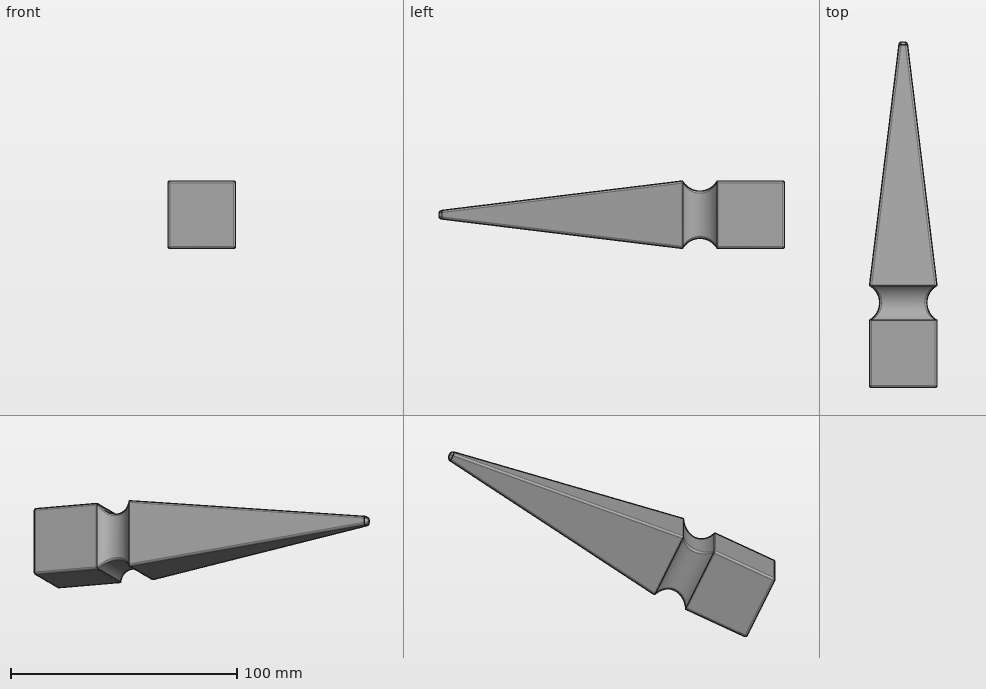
import cadquery as cq
side = 30.0
block_length = 30.0
neck_length = 15.0
total_length = 153.0
neck_depth = 4.5
tip_side = 3.6
edge_radius = 1.0
shoulder_radius = 0.4
tip_radius = 1.6

neck_end = block_length + neck_length
neck_middle = block_length + neck_length / 2
half_side = side / 2
half_tip = tip_side / 2
half_neck = half_side - neck_depth
half_neck_end = half_side - shoulder_radius

plan_plane = cq.Plane(origin=(0, 0, 0), xDir=(1, 0, 0), normal=(0, 0, 1))
side_plane = cq.Plane(origin=(0, 0, 0), xDir=(0, 0, 1), normal=(-1, 0, 0))


def square_block():
    """Cube-like head: rounded front and side edges, finely rounded edge at the neck."""
    block = cq.Workplane("XY").box(side, block_length, side)
    block = block.translate((0, block_length / 2, 0))
    block = block.edges("|Y or <Y").fillet(edge_radius)
    return block.faces(">Y").edges().fillet(shoulder_radius)


def neck_slab(plane):
    """Neck outline, concave on both sides, extruded to the full thickness."""
    return (
        cq.Workplane(plane)
        .moveTo(half_neck_end, block_length)
        .threePointArc((half_neck, neck_middle), (half_neck_end, neck_end))
        .lineTo(-half_neck_end, neck_end)
        .threePointArc((-half_neck, neck_middle), (-half_neck_end, block_length))
        .close()
        .extrude(half_side, both=True)
    )


def waisted_neck():
    """Square neck, concave on all four sides, with rounded corners."""
    neck = neck_slab(plan_plane).intersect(neck_slab(side_plane))
    return neck.edges("not(#Y)").fillet(edge_radius)


def taper_slab(plane):
    """Taper outline with a rounded tip, extruded to the full thickness."""
    slab = (
        cq.Workplane(plane)
        .moveTo(half_side, neck_end)
        .lineTo(half_tip, total_length)
        .lineTo(-half_tip, total_length)
        .lineTo(-half_side, neck_end)
        .close()
        .extrude(half_side, both=True)
    )
    tip_edges = slab.faces(">Y").edges(cq.selectors.ParallelDirSelector(plane.zDir))
    return tip_edges.fillet(tip_radius)


def square_taper():
    """Long four-sided taper to a blunt, rounded tip."""
    taper = taper_slab(plan_plane).intersect(taper_slab(side_plane))
    taper = taper.edges("not(#Y)").fillet(edge_radius)
    return taper.faces("<Y").edges().fillet(shoulder_radius)


result = square_block().union(waisted_neck()).union(square_taper())